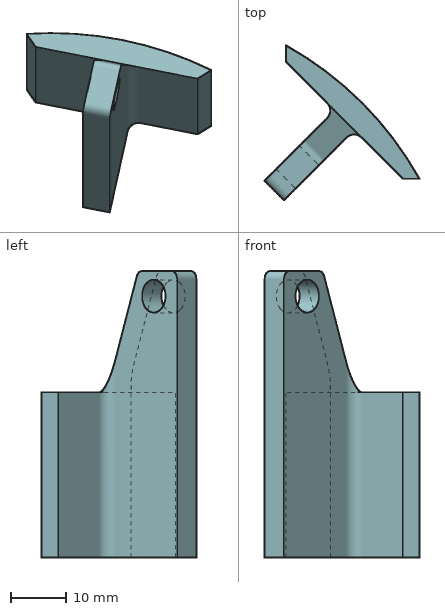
import cadquery as cq
import math


plate_height = 30.0
flat_face_width = 30.0
plate_end_length = 3.0
plate_thickness = 4.5

web_height = 52.0
web_thickness = 5.0
web_reach = 18.0
web_top_length = 10.0
top_corner_radius = 1.5
root_fillet_radius = 2.0

hole_diameter = 6.0
hole_from_end = 6.0
hole_from_top = 4.6

turn_angle = 45.0


def make_plan():
    """T-shaped plan, filleted where the web meets the plate."""
    half_face = flat_face_width / 2
    end_depth = plate_end_length * math.cos(math.radians(turn_angle))
    end_flare = plate_end_length * math.sin(math.radians(turn_angle))
    half_span = half_face + end_flare
    plate = (
        cq.Workplane("XY")
        .moveTo(0, -half_face)
        .lineTo(end_depth, -half_span)
        .threePointArc((plate_thickness, 0), (end_depth, half_span))
        .lineTo(0, half_face)
        .close()
        .extrude(web_height)
    )
    web = cq.Workplane("XY").box(
        web_reach, web_thickness, web_height, centered=(False, True, False)
    ).translate((-web_reach, 0, 0))
    root_edges = cq.selectors.BoxSelector(
        (-0.05, -web_thickness, 0), (0.05, web_thickness, web_height)
    )
    return plate.union(web).edges("|Z").edges(root_edges).fillet(root_fillet_radius)


def make_side_profile():
    """Side outline: tall web sloping down to the top of the plate."""
    profile = (
        cq.Workplane("XZ")
        .moveTo(-web_reach, 0)
        .lineTo(-web_reach, web_height)
        .lineTo(web_top_length - web_reach, web_height)
        .lineTo(0, plate_height)
        .lineTo(plate_thickness, plate_height)
        .lineTo(plate_thickness, 0)
        .close()
        .extrude(flat_face_width, both=True)
    )
    top_corners = profile.faces(">Z").edges("|Y")
    return top_corners.fillet(top_corner_radius)


def make_hole():
    return (
        cq.Workplane("XZ")
        .center(hole_from_end - web_reach, web_height - hole_from_top)
        .circle(hole_diameter / 2)
        .extrude(web_thickness, both=True)
    )


part = make_plan().intersect(make_side_profile()).cut(make_hole())
result = part.rotate((0, 0, 0), (0, 0, 1), turn_angle)